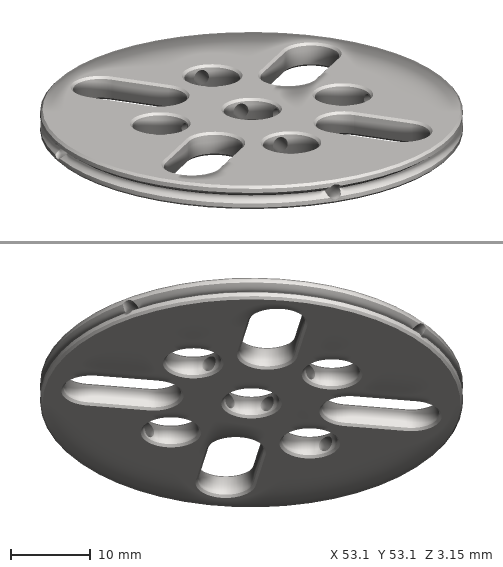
import cadquery as cq

disc_diameter = 53.1
thickness = 3.15
edge_chamfer = 0.305
chamfer_angle = 45

groove_width = 1.45
groove_depth = 1.0

hole_diameter = 7.0
hole_spacing = 12.5
slot_outer_radius = 20.35
slot_angles = (45, 135, 225, 315)

cross_hole_diameter = 2.0

disc_radius = disc_diameter / 2
half_thickness = thickness / 2


def make_disc():
    """Disc centred on the origin, with chamfered rims and a V-groove between them."""
    chamfer_radius = disc_radius - edge_chamfer
    chamfer_height = half_thickness - edge_chamfer
    section = [
        (0, half_thickness),
        (chamfer_radius, half_thickness),
        (disc_radius, chamfer_height),
        (disc_radius, groove_width / 2),
        (disc_radius - groove_depth, 0),
        (disc_radius, -groove_width / 2),
        (disc_radius, -chamfer_height),
        (chamfer_radius, -half_thickness),
        (0, -half_thickness),
    ]
    return cq.Workplane("XZ").polyline(section).close().revolve(360, (0, 0), (0, 1))


def make_flared(outline):
    """Cutter through the disc for an outline(growth) sketch, flared at both faces."""
    cutter = outline(0, -half_thickness).extrude(thickness)
    for side in (1, -1):
        mouth = outline(edge_chamfer, side * half_thickness)
        cutter = cutter.union(mouth.extrude(-side * edge_chamfer, taper=chamfer_angle))
    return cutter


def make_round_hole():
    """Flared round hole on the Z axis."""
    def outline(growth, height):
        return cq.Workplane("XY", origin=(0, 0, height)).circle(hole_diameter / 2 + growth)

    return make_flared(outline)


def make_radial_slot():
    """Flared slot along +X, its inner end as far out as the outer holes."""
    centre_distance = slot_outer_radius - hole_spacing
    middle = (slot_outer_radius + hole_spacing) / 2

    def outline(growth, height):
        width = hole_diameter + 2 * growth
        plane = cq.Workplane("XY", origin=(middle, 0, height))
        return plane.slot2D(centre_distance + width, width)

    return make_flared(outline)


def make_cross_hole(direction):
    """Drilling along the given direction through the whole disc."""
    plane = cq.Plane(origin=(0, 0, 0), xDir=(0, 0, 1), normal=direction)
    drilling = cq.Workplane(plane).circle(cross_hole_diameter / 2)
    return drilling.extrude(disc_diameter, both=True)


result = make_disc()

round_hole = make_round_hole()
hole_places = [(0, 0), (hole_spacing, 0), (-hole_spacing, 0), (0, hole_spacing), (0, -hole_spacing)]
for x, y in hole_places:
    result = result.cut(round_hole.translate((x, y, 0)))

radial_slot = make_radial_slot()
for angle in slot_angles:
    result = result.cut(radial_slot.rotate((0, 0, 0), (0, 0, 1), angle))

for direction in ((1, 0, 0), (0, 1, 0)):
    result = result.cut(make_cross_hole(direction))